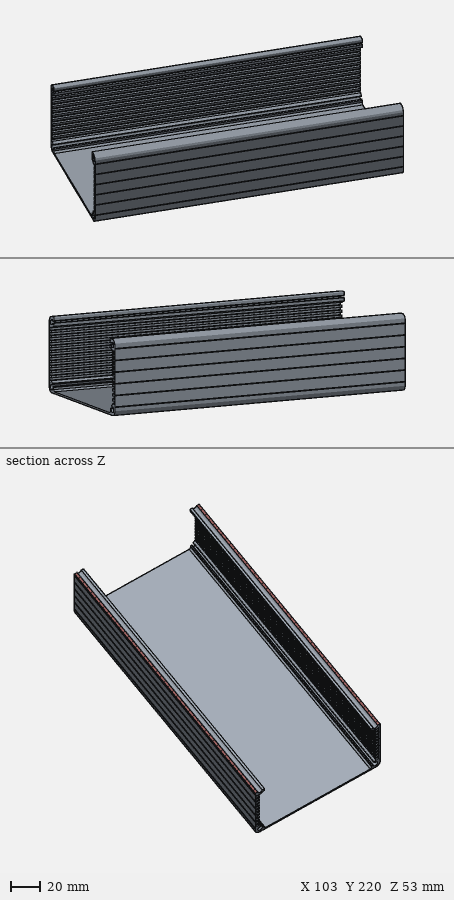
import cadquery as cq
import math

WIDTH = 103.0
LENGTH = 220.0
HEIGHT = 53.0

WALL = 1.3
FLOOR = 1.4
CORNER_RADIUS = 4.0

FIN_COUNT = 10
FIN_PITCH = 3.47
FIN_THICKNESS = 1.5
FIN_GAP = FIN_PITCH - FIN_THICKNESS
FIN_REACH = 3.5
LOWEST_FIN_Z = 11.05

UPPER_CHANNEL_RADIUS = 1.75
LOWER_CHANNEL_RADIUS = 1.9
CHANNEL_INSET = CORNER_RADIUS

RIM_REACH = 7.6
RIM_NOSE_RADIUS = 0.8
RIM_TIP_Z = 46.7
RIM_ROOT_Z = LOWEST_FIN_Z + (FIN_COUNT - 0.5) * FIN_PITCH + FIN_GAP / 2
UPPER_SLOT_WIDTH = 1.2
UPPER_SLOT_Z = HEIGHT - CHANNEL_INSET + 0.4
SLOT_FLARE_DEPTH = 0.7
SLOT_FLARE_RISE = 0.6

LOWER_LIP_TOP_Z = LOWEST_FIN_Z - FIN_THICKNESS / 2 - FIN_GAP
LOWER_LIP_REACH = 5.2
LOWER_LIP_NOSE_Z = 6.8
FLOOR_LIP_REACH = 7.0
FLOOR_LIP_TOP_Z = 4.9
FLOOR_LIP_PEAK = 6.2
FLOOR_LIP_PEAK_DROP = 0.7
FLOOR_LIP_FOOT = 1.3
LOWER_SLOT_WIDTH = 2.0

GROOVE_COUNT = 6
GROOVE_PITCH = 8.1
GROOVE_CENTER_Z = 26.75
GROOVE_WIDTH = 0.5
GROOVE_DEPTH = 0.3


def bar(outline):
    """Extrude a closed XZ outline symmetrically along Y over the full length."""
    return outline.extrude(LENGTH / 2, both=True)


def polygon_bar(points):
    return bar(cq.Workplane("XZ").polyline(points).close())


def box_bar(x_min, x_max, z_min, z_max):
    return polygon_bar([(x_min, z_min), (x_max, z_min), (x_max, z_max), (x_min, z_max)])


HALF_WIDTH = WIDTH / 2


def outer_envelope():
    """Left half of the outside shape with its two rounded corners."""
    return box_bar(0, HALF_WIDTH, 0, HEIGHT).edges("|Y and <X").fillet(CORNER_RADIUS)


def shell():
    """Plain side wall and left half of the floor."""
    return box_bar(0, WALL, 0, HEIGHT).union(box_bar(0, HALF_WIDTH, 0, FLOOR))


def fins():
    comb = cq.Workplane("XZ")
    for i in range(FIN_COUNT):
        z = LOWEST_FIN_Z + i * FIN_PITCH
        comb = comb.union(
            box_bar(0, FIN_REACH, z - FIN_THICKNESS / 2, z + FIN_THICKNESS / 2)
        )
    return comb


def upper_block():
    """Rim block around the upper screw channel, with a sloped underside."""
    outline = (
        cq.Workplane("XZ")
        .moveTo(0, RIM_ROOT_Z)
        .lineTo(FIN_REACH, RIM_ROOT_Z)
        .lineTo(RIM_REACH, RIM_TIP_Z)
        .lineTo(RIM_REACH, HEIGHT - RIM_NOSE_RADIUS)
        .radiusArc((RIM_REACH - RIM_NOSE_RADIUS, HEIGHT), -RIM_NOSE_RADIUS)
        .lineTo(0, HEIGHT)
        .close()
    )
    return bar(outline)


def lower_block():
    """Corner block with a nose on the wall and a pointed lip on the floor."""
    foot_end = FLOOR_LIP_REACH + FLOOR_LIP_FOOT
    return polygon_bar([
        (0, 0),
        (foot_end, 0),
        (foot_end, FLOOR),
        (FLOOR_LIP_REACH, FLOOR + FLOOR_LIP_FOOT),
        (FLOOR_LIP_REACH, FLOOR_LIP_TOP_Z - FLOOR_LIP_PEAK_DROP),
        (FLOOR_LIP_PEAK, FLOOR_LIP_TOP_Z),
        (LOWER_LIP_REACH, LOWER_LIP_NOSE_Z),
        (FIN_REACH, LOWER_LIP_TOP_Z),
        (0, LOWER_LIP_TOP_Z),
    ])


def channel(z, radius):
    return bar(cq.Workplane("XZ").center(CHANNEL_INSET, z).circle(radius))


def upper_slot():
    """Opening from the upper channel to the rim end, with a beveled mouth."""
    half = UPPER_SLOT_WIDTH / 2
    flare_start = RIM_REACH - SLOT_FLARE_DEPTH
    return polygon_bar([
        (CHANNEL_INSET, UPPER_SLOT_Z - half),
        (RIM_REACH, UPPER_SLOT_Z - half),
        (RIM_REACH, UPPER_SLOT_Z + half + SLOT_FLARE_RISE),
        (flare_start, UPPER_SLOT_Z + half),
        (CHANNEL_INSET, UPPER_SLOT_Z + half),
    ])


def lower_slot():
    """Diagonal opening from the lower channel toward the inside."""
    offset = LOWER_SLOT_WIDTH / 2 * math.sqrt(0.5)
    near_x = CHANNEL_INSET + offset
    near_z = CHANNEL_INSET - offset
    run = RIM_REACH
    return polygon_bar([
        (near_x, near_z),
        (near_x + run, near_z + run),
        (near_z + run, near_x + run),
        (near_z, near_x),
    ])


def grooves():
    cutters = cq.Workplane("XZ")
    for i in range(GROOVE_COUNT):
        z = GROOVE_CENTER_Z + (i - (GROOVE_COUNT - 1) / 2) * GROOVE_PITCH
        cutters = cutters.union(polygon_bar([
            (0, z - GROOVE_WIDTH / 2),
            (GROOVE_DEPTH, z),
            (0, z + GROOVE_WIDTH / 2),
        ]))
    return cutters


left = shell().union(fins()).union(upper_block()).union(lower_block())
left = left.intersect(outer_envelope())
left = left.cut(channel(CHANNEL_INSET, LOWER_CHANNEL_RADIUS)).cut(lower_slot())
left = left.cut(channel(HEIGHT - CHANNEL_INSET, UPPER_CHANNEL_RADIUS)).cut(upper_slot())
left = left.cut(grooves()).translate((-HALF_WIDTH, 0, 0))
result = left.union(left.mirror("YZ")).clean()